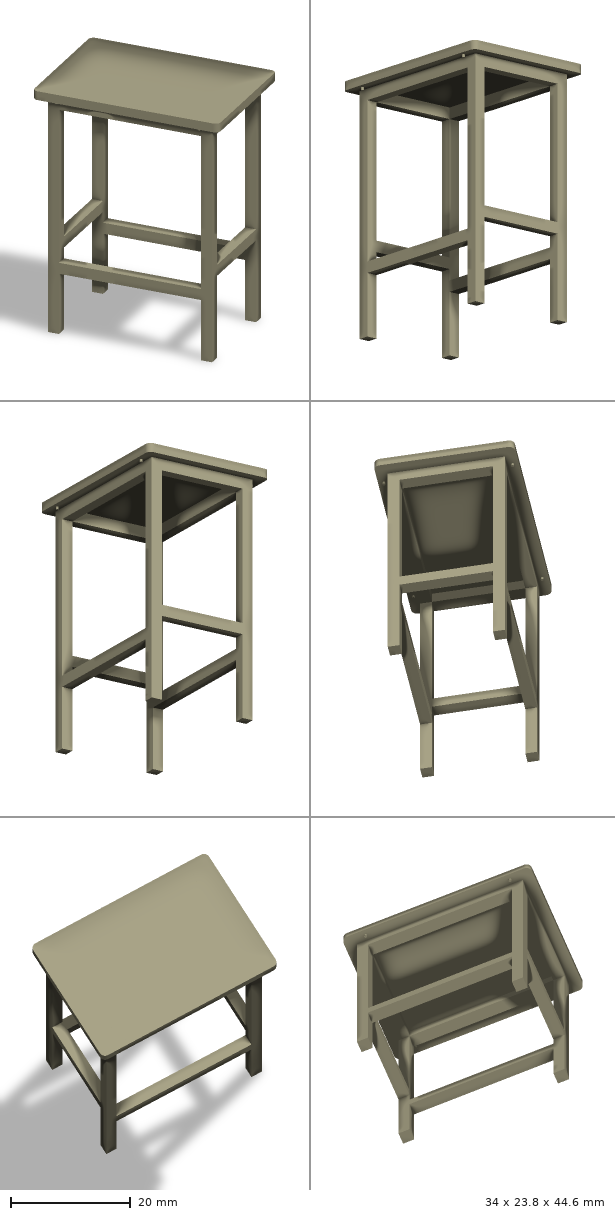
import cadquery as cq

total_height = 44.6

top_length = 34.0
top_width = 23.8
top_thickness = 1.6
top_corner_radius = 1.0

frame_length = 30.02
frame_width = 19.9
bar = 2.0
frame_height = total_height - top_thickness
long_stretcher_bottom = 11.0
short_stretcher_bottom = 15.0

frame_turn = -0.2
frame_offset_x = 0.05
frame_offset_y = -0.1

pin_diameter = 0.5
pin_spacing_x = 26.1
pin_spacing_y = 21.85
pin_projection = 0.5
pin_length = top_thickness + pin_projection

leg_spacing_x = frame_length - bar
leg_spacing_y = frame_width - bar


def bar_block(size_x, size_y, size_z, x, y, bottom):
    """Rectangular bar centred on (x, y) and rising from the given bottom height."""
    block = cq.Workplane("XY").box(size_x, size_y, size_z, centered=(True, True, False))
    return block.translate((x, y, bottom))


def make_frame():
    """Four legs joined by upper rails and lower stretchers into one solid."""
    rail_bottom = frame_height - bar
    frame = None
    for side_x in (-1, 1):
        for side_y in (-1, 1):
            leg = bar_block(
                bar, bar, frame_height,
                side_x * leg_spacing_x / 2, side_y * leg_spacing_y / 2, 0,
            )
            frame = leg if frame is None else frame.union(leg)
    for side in (-1, 1):
        for bottom in (rail_bottom, long_stretcher_bottom):
            frame = frame.union(bar_block(frame_length, bar, bar, 0, side * leg_spacing_y / 2, bottom))
        for bottom in (rail_bottom, short_stretcher_bottom):
            frame = frame.union(bar_block(bar, frame_width, bar, side * leg_spacing_x / 2, 0, bottom))
    turned = frame.clean().rotate((0, 0, 0), (0, 0, 1), frame_turn)
    return turned.translate((frame_offset_x, frame_offset_y, 0))


def make_table_top():
    """Plate with rounded corners and a through hole for each pin."""
    return (
        cq.Workplane("XY", origin=(0, 0, frame_height))
        .rect(top_length, top_width)
        .extrude(top_thickness)
        .edges("|Z")
        .fillet(top_corner_radius)
        .faces(">Z")
        .workplane(origin=(0, 0, total_height))
        .rect(pin_spacing_x, pin_spacing_y, forConstruction=True)
        .vertices()
        .hole(pin_diameter)
    )


def make_pin(x, y):
    """Plain round pin reaching down from the upper face of the top."""
    return cq.Workplane("XY", origin=(x, y, total_height)).circle(pin_diameter / 2).extrude(-pin_length)


frame = make_frame()
table_top = make_table_top()
pins = []
for side_x in (-1, 1):
    for side_y in (-1, 1):
        pin = make_pin(side_x * pin_spacing_x / 2, side_y * pin_spacing_y / 2)
        pins.append(pin.val())

result = cq.Compound.makeCompound([frame.val(), table_top.val(), *pins])